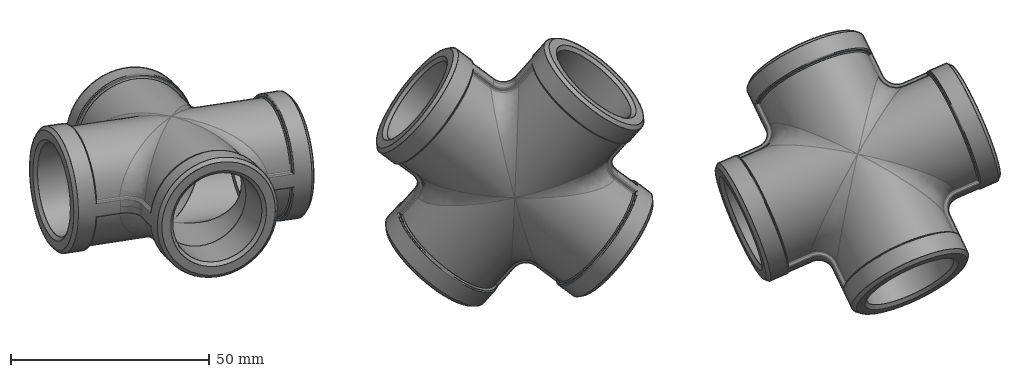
import cadquery as cq

SPAN = 65.0
COLLAR_DIAMETER = 32.5
COLLAR_LENGTH = 6.0
RAISE = 1.0
RIB_WIDTH = 4.0
RIB_CORNER_RADIUS = 4.0
EDGE_ROUND = 0.3
END_CHAMFER = 0.9

BORE_DIAMETER = 24.12
BORE_DEPTH = 12.0
CAVITY_DIAMETER = 27.1

REACH = SPAN / 2
COLLAR_RADIUS = COLLAR_DIAMETER / 2
BODY_RADIUS = COLLAR_RADIUS - RAISE
BODY_CORNER_RADIUS = RIB_CORNER_RADIUS + RAISE
COLLAR_START = REACH - COLLAR_LENGTH
TOLERANCE = 0.001

ARM_PLANES = ("YZ", "XZ")


def crossed_cylinders(radius, half_length):
    """Two cylinders along X and Y, crossing at the origin."""
    cross = cq.Workplane("XY")
    for plane in ARM_PLANES:
        cross = cross.union(cq.Workplane(plane).circle(radius).extrude(half_length, both=True))
    return cross


def is_crossing_curve(edge):
    """True for a curve along which two arms meet, in one of the planes x = y and x = -y."""
    middle = edge.Center()
    return abs(abs(middle.x) - abs(middle.y)) < TOLERANCE


def filleted_cross(radius, corner_radius):
    """Crossed cylinders with a fillet in each corner between two arms."""
    cross = crossed_cylinders(radius, REACH)
    crossing_curves = [edge for edge in cross.edges().vals() if is_crossing_curve(edge)]
    return cross.newObject(crossing_curves).fillet(corner_radius)


def raised_zone():
    """Region in which the collars and the ribs stand above the body."""
    collar_zone = cq.Workplane("XY").box(SPAN, SPAN, COLLAR_DIAMETER)
    between_collars = cq.Workplane("XY").box(2 * COLLAR_START, 2 * COLLAR_START, COLLAR_DIAMETER)
    rib_zone = cq.Workplane("XY").box(SPAN, SPAN, RIB_WIDTH)
    return collar_zone.cut(between_collars).union(rib_zone)


def is_step_wall(face):
    """True for the flat walls that rise from the body to a collar or a rib."""
    middle = face.Center()
    collar_wall = abs(max(abs(middle.x), abs(middle.y)) - COLLAR_START) < TOLERANCE
    rib_wall = abs(abs(middle.z) - RIB_WIDTH / 2) < TOLERANCE
    return face.geomType() == "PLANE" and (collar_wall or rib_wall)


def round_steps(form):
    """Round the outer edge and the root of every step wall, leaving the short wall corners sharp."""
    longest_wall_corner = 2 * RAISE
    edges = [
        edge
        for wall in form.faces().vals()
        if is_step_wall(wall)
        for edge in wall.Edges()
        if edge.Length() > longest_wall_corner
    ]
    return form.newObject(edges).fillet(EDGE_ROUND)


def outer_form():
    """Solid outside of the fitting: body, four collars and the ribs between them."""
    body = filleted_cross(BODY_RADIUS, BODY_CORNER_RADIUS)
    raised = filleted_cross(COLLAR_RADIUS, RIB_CORNER_RADIUS).intersect(raised_zone())
    return round_steps(body.union(raised))


def cut_bores(form):
    """Bore all four ends and open the wider cavity that joins the bores."""
    bores = crossed_cylinders(BORE_DIAMETER / 2, REACH)
    cavity = crossed_cylinders(CAVITY_DIAMETER / 2, REACH - BORE_DEPTH)
    return form.cut(bores).cut(cavity)


def chamfer_ends(form):
    """Chamfer the outer rim and the bore mouth of each end."""
    return form.faces("<X or >X or <Y or >Y").edges().chamfer(END_CHAMFER)


result = chamfer_ends(cut_bores(outer_form()))